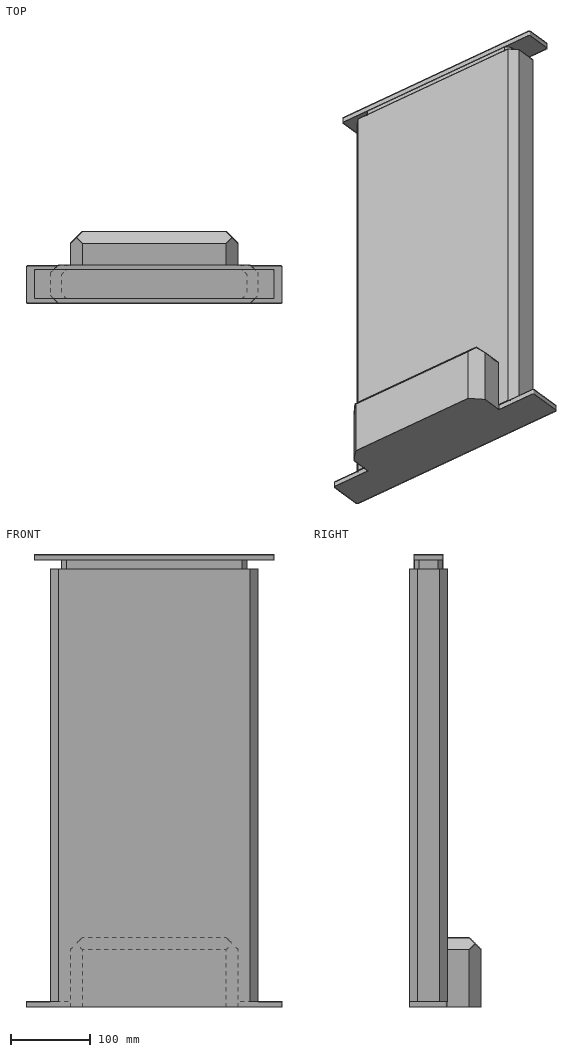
import cadquery as cq

base_length = 320.0
base_depth = 47.0
plate_thickness = 7.0
plate_corner_radius = 2.0

body_length = 260.0
body_depth = 48.0
body_height = 541.0
body_corner = 10.0

neck_inset = 6.0
neck_length = 232.0
neck_depth = body_depth - 2 * neck_inset
neck_height = 11.0
neck_corner = 6.0

cap_length = 300.0
cap_depth = 36.5

housing_length = 210.0
housing_height = 87.0
housing_back = 90.0
housing_chamfer = 15.0

body_middle = body_depth / 2
body_top = plate_thickness + body_height
neck_top = body_top + neck_height


def rounded_plate(length, depth, middle, bottom):
    """Flat plate with rounded vertical corners."""
    plate = cq.Workplane("XY", origin=(0, middle, bottom)).rect(length, depth).extrude(plate_thickness)
    return plate.edges("|Z").fillet(plate_corner_radius)


def cut_corner_prism(length, depth, height, corner, bottom):
    """Upright prism, centred on the body, whose four vertical corners are cut off flat."""
    half_length = length / 2
    half_depth = depth / 2
    flat_x = half_length - corner
    flat_y = half_depth - corner
    outline = [
        (-flat_x, -half_depth),
        (flat_x, -half_depth),
        (half_length, -flat_y),
        (half_length, flat_y),
        (flat_x, half_depth),
        (-flat_x, half_depth),
        (-half_length, flat_y),
        (-half_length, -flat_y),
    ]
    return cq.Workplane("XY", origin=(0, body_middle, bottom)).polyline(outline).close().extrude(height)


def rear_housing():
    """Box behind the body whose rear, side and top faces meet in flat chamfers.

    It is the overlap of two prisms: one with chamfered rear uprights, one with a chamfered top.
    """
    half_length = housing_length / 2
    inner_x = half_length - housing_chamfer
    inner_y = housing_back - housing_chamfer
    inner_z = housing_height - housing_chamfer
    depth = housing_back - body_middle

    plan = [
        (-half_length, body_middle),
        (half_length, body_middle),
        (half_length, inner_y),
        (inner_x, housing_back),
        (-inner_x, housing_back),
        (-half_length, inner_y),
    ]
    upright = cq.Workplane("XY").polyline(plan).close().extrude(housing_height)

    elevation = [
        (-half_length, 0),
        (half_length, 0),
        (half_length, inner_z),
        (inner_x, housing_height),
        (-inner_x, housing_height),
        (-half_length, inner_z),
    ]
    across = cq.Workplane("XZ", origin=(0, body_middle, 0)).polyline(elevation).close().extrude(-depth)
    across = across.edges(">Y and >Z").chamfer(housing_chamfer)
    return upright.intersect(across)


base = rounded_plate(base_length, base_depth, base_depth / 2, 0)
body = cut_corner_prism(body_length, body_depth, body_height, body_corner, plate_thickness)
neck = cut_corner_prism(neck_length, neck_depth, neck_height, neck_corner, body_top)
cap = rounded_plate(cap_length, cap_depth, body_middle, neck_top)

result = base.union(body).union(neck).union(cap).union(rear_housing())